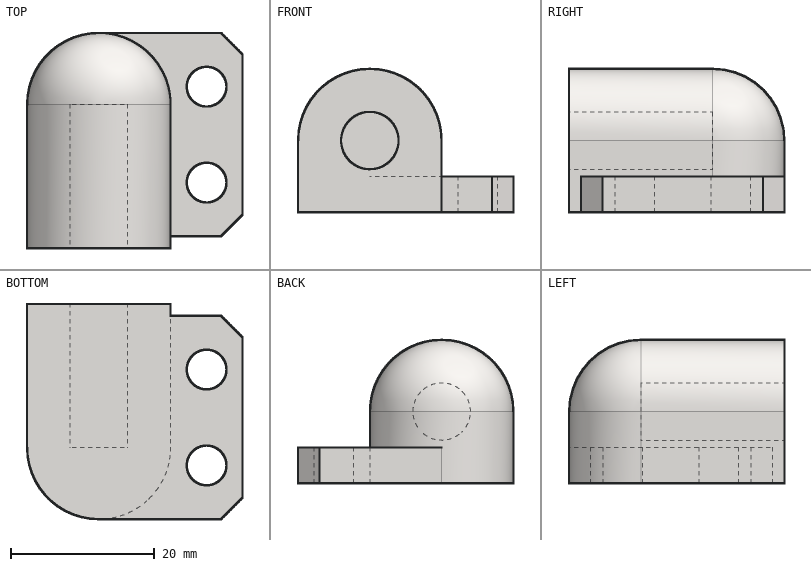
import cadquery as cq

body_radius = 10.0
body_length = 30.0
axis_height = 10.0
dome_radius = body_radius
straight_length = body_length - dome_radius

bore_diameter = 8.0
bore_depth = straight_length

flange_reach = 10.0
flange_thickness = 5.0
flange_front = 1.65
flange_chamfer = 3.0

screw_hole_diameter = 5.5
screw_hole_end_offset = 7.5
screw_hole_x = body_radius + flange_reach / 2


def make_body():
    """Arched block with a half-round back wall under a spherical dome."""
    block = cq.Workplane("XY").box(
        2 * body_radius, straight_length, axis_height, centered=(True, False, False)
    )
    barrel = (
        cq.Workplane("XZ", origin=(0, 0, axis_height))
        .circle(body_radius)
        .extrude(-straight_length)
    )
    back_wall = (
        cq.Workplane("XY", origin=(0, straight_length, 0))
        .circle(dome_radius)
        .extrude(axis_height)
    )
    dome = cq.Workplane("XY", origin=(0, straight_length, axis_height)).sphere(dome_radius)
    return block.union(barrel).union(back_wall).union(dome)


def make_flange():
    """Plate starting at the arch centre plane, with its outer corners chamfered."""
    width = body_radius + flange_reach
    length = body_length - flange_front
    plate = (
        cq.Workplane("XY", origin=(0, flange_front, 0))
        .box(width, length, flange_thickness, centered=False)
        .edges("|Z and >X")
        .chamfer(flange_chamfer)
    )
    hole_points = [
        (screw_hole_x, flange_front + screw_hole_end_offset),
        (screw_hole_x, body_length - screw_hole_end_offset),
    ]
    holes = (
        cq.Workplane("XY")
        .pushPoints(hole_points)
        .circle(screw_hole_diameter / 2)
        .extrude(flange_thickness)
    )
    return plate.cut(holes)


def make_bore():
    """Cylinder removed from the front face along the arch axis."""
    return (
        cq.Workplane("XZ", origin=(0, 0, axis_height))
        .circle(bore_diameter / 2)
        .extrude(-bore_depth)
    )


result = make_body().union(make_flange()).cut(make_bore())